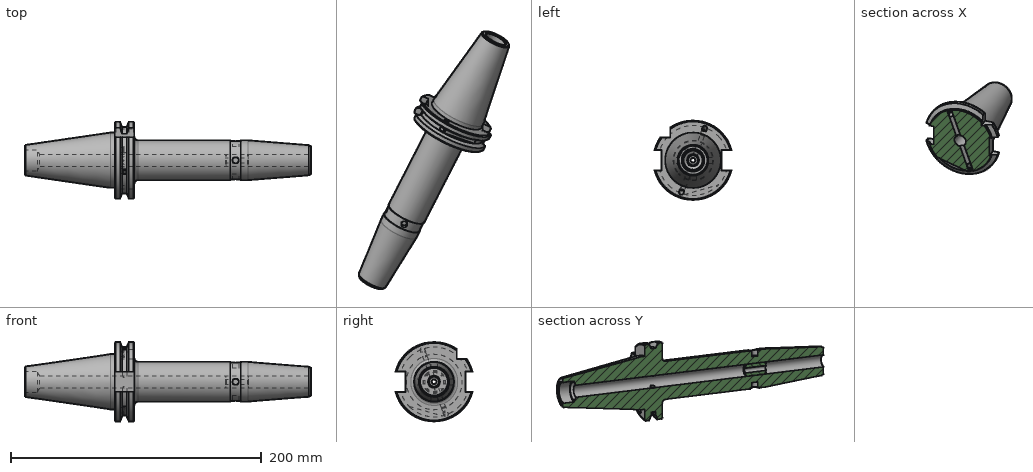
import cadquery as cq
import math

total_length = 228.5
body_radius = 16.0

shank_small_radius = 12.3
shank_large_radius = 22.2
shank_end_chamfer = 1.0
gauge_plane_x = 68.3

flange_start_x = 71.7
flange_end_x = 87.5
flange_radius = 31.7
flange_chamfer = 1.0
flange_fillet = 2.7
groove_center_x = 79.5
groove_floor_radius = 27.9
groove_floor_width = 3.7
groove_top_width = 7.0

flat_angle = 16.0
flat_distance = 24.2
flat_width = 3.5

slot_width = 16.0
front_slot_depth_y = 22.8
back_slot_depth_y = 25.1
notch_corner = 18.3

channel_count = 2
channel_angle = 20.0
channel_mouth_radius = 27.0
channel_radius = 1.95
channel_slope = 30.0
plug_radius = 1.71
plug_length = 1.8
plug_recess = 1.0

neck_start_x = 164.0
neck_end_x = 172.2
neck_radius = 15.5
nose_cone_start_x = 178.0
nose_end_radius = 12.0
nose_chamfer = 1.8
nose_chamfer_height = 1.1

balance_hole_x = 168.0
balance_hole_radius = 2.5
balance_hole_depth = 4.5
balance_hole_count = 4

rear_bore_radius = 8.5
rear_bore_chamfer = 0.7
rear_bore_depth = 10.0
bore_cone_radius = 7.5
tool_bore_radius = 4.8
drill_point_angle = 118.0

stop_screw_start_x = 159.9
stop_screw_length = 18.3
stop_screw_chamfer = 1.0
stop_screw_hole_radius = 1.8


def revolve_about_x(points):
    """Solid of revolution about X from (x, radius) points."""
    return cq.Workplane("XY").polyline(points).close().revolve(360, (0, 0, 0), (1, 0, 0))


def cylinder_along_x(radius, start_x, end_x):
    return cq.Workplane("YZ").workplane(offset=start_x).circle(radius).extrude(end_x - start_x)


def make_outer_form():
    shank = [
        (0, 0),
        (0, shank_small_radius - shank_end_chamfer),
        (shank_end_chamfer, shank_small_radius),
        (gauge_plane_x, shank_large_radius),
        (flange_start_x, shank_large_radius),
    ]
    flange = [
        (flange_start_x, flange_radius - flange_chamfer),
        (flange_start_x + flange_chamfer, flange_radius),
        (flange_end_x - flange_chamfer, flange_radius),
        (flange_end_x, flange_radius - flange_chamfer),
    ]
    fillet_start = (flange_end_x, body_radius + flange_fillet)
    fillet_middle = (
        flange_end_x + flange_fillet * (1 - math.sqrt(0.5)),
        body_radius + flange_fillet * (1 - math.sqrt(0.5)),
    )
    fillet_end = (flange_end_x + flange_fillet, body_radius)
    nose = [
        (neck_start_x, body_radius),
        (neck_start_x, neck_radius),
        (neck_end_x, neck_radius),
        (neck_end_x, body_radius),
        (nose_cone_start_x, body_radius),
        (total_length - nose_chamfer, nose_end_radius),
        (total_length, nose_end_radius - nose_chamfer_height),
        (total_length, 0),
    ]
    outline = cq.Workplane("XY").polyline(shank + flange + [fillet_start])
    outline = outline.threePointArc(fillet_middle, fillet_end)
    for point in nose:
        outline = outline.lineTo(*point)
    return outline.close().revolve(360, (0, 0, 0), (1, 0, 0))


def make_groove():
    """V-groove around the flange."""
    return revolve_about_x(
        [
            (groove_center_x - groove_top_width / 2, flange_radius),
            (groove_center_x - groove_floor_width / 2, groove_floor_radius),
            (groove_center_x + groove_floor_width / 2, groove_floor_radius),
            (groove_center_x + groove_top_width / 2, flange_radius),
        ]
    )


def make_groove_flat():
    """Cutter that leaves a flat facing -Z, tilted toward -Y."""
    size = (flat_width, 2 * groove_floor_radius, groove_floor_radius - flat_distance)
    cutter = cq.Workplane("XY").box(*size, centered=(True, True, False))
    cutter = cutter.translate((groove_center_x, 0, -groove_floor_radius))
    return cutter.rotate((0, 0, 0), (1, 0, 0), -flat_angle)


def make_axial_bore():
    cone_length = (bore_cone_radius - tool_bore_radius) / math.tan(math.radians(drill_point_angle / 2))
    return revolve_about_x(
        [
            (0, 0),
            (0, rear_bore_radius + rear_bore_chamfer),
            (rear_bore_chamfer, rear_bore_radius),
            (rear_bore_depth, rear_bore_radius),
            (rear_bore_depth, bore_cone_radius),
            (rear_bore_depth + cone_length, tool_bore_radius),
            (total_length, tool_bore_radius),
            (total_length, 0),
        ]
    )


def flange_cutter(y_min, y_max, z_min, z_max):
    """Box across the whole width of the flange."""
    size = (flange_end_x - flange_start_x, y_max - y_min, z_max - z_min)
    return cq.Workplane("XY").box(*size, centered=False).translate((flange_start_x, y_min, z_min))


def make_flange_cuts():
    front_slot = flange_cutter(-flange_radius, -front_slot_depth_y, -slot_width / 2, slot_width / 2)
    back_slot = flange_cutter(back_slot_depth_y, flange_radius, -slot_width / 2, slot_width / 2)
    notch = flange_cutter(notch_corner, flange_radius, notch_corner, flange_radius)
    return [front_slot, back_slot, notch]


def turned_about_x(shape, index):
    """Turn a shape made in the +Z half of the XZ plane to one of the channel positions."""
    return shape.rotate((0, 0, 0), (1, 0, 0), channel_angle + index * 360 / channel_count)


def make_channel():
    """Sloping hole from the rear face of the flange to the radial passage below the groove."""
    slope = math.radians(channel_slope)
    direction = cq.Vector(math.cos(slope), 0, -math.sin(slope))
    mouth = cq.Vector(flange_start_x, 0, channel_mouth_radius)
    overrun = 2 * channel_radius
    length = (groove_center_x - flange_start_x) / math.cos(slope)
    solid = cq.Solid.makeCylinder(channel_radius, length + overrun, mouth - direction * overrun, direction)
    return cq.Workplane(solid).intersect(cylinder_along_x(flange_radius, flange_start_x, total_length))


def make_radial_passage():
    """Radial passage from the axial bore to the groove floor, closed by the plug."""
    hole = cq.Workplane("XY").center(groove_center_x, 0).circle(plug_radius)
    return hole.extrude(flange_radius)


def make_balance_hole():
    hole = cq.Workplane("XY").workplane(offset=neck_radius - balance_hole_depth)
    return hole.center(balance_hole_x, 0).circle(balance_hole_radius).extrude(2 * balance_hole_depth)


def make_holder():
    holder = make_outer_form().cut(make_groove()).cut(make_groove_flat()).cut(make_axial_bore())
    for cut in make_flange_cuts():
        holder = holder.cut(cut)
    for index in range(channel_count):
        holder = holder.cut(turned_about_x(make_channel(), index))
        holder = holder.cut(turned_about_x(make_radial_passage(), index))
    for index in range(balance_hole_count):
        angle = index * 360 / balance_hole_count
        holder = holder.cut(make_balance_hole().rotate((0, 0, 0), (1, 0, 0), angle))
    return holder


def make_plug(index):
    """Screw closing the outer end of a radial passage, sunk below the groove floor."""
    base_radius = groove_floor_radius - plug_recess - plug_length
    plug = cq.Workplane("XY").workplane(offset=base_radius).center(groove_center_x, 0)
    return turned_about_x(plug.circle(plug_radius).extrude(plug_length), index)


def make_stop_screw():
    """Length-stop screw with a coolant hole along its axis."""
    end_x = stop_screw_start_x + stop_screw_length
    screw = cylinder_along_x(tool_bore_radius, stop_screw_start_x, end_x)
    screw = screw.faces("<X or >X").edges().chamfer(stop_screw_chamfer)
    return screw.cut(cylinder_along_x(stop_screw_hole_radius, stop_screw_start_x, end_x))


holder = make_holder()
plugs = [make_plug(index) for index in range(channel_count)]
stop_screw = make_stop_screw()

result = cq.Compound.makeCompound([holder.val(), *[plug.val() for plug in plugs], stop_screw.val()])